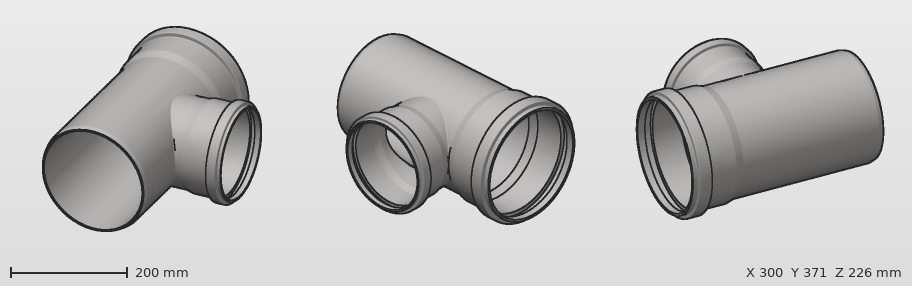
import cadquery as cq

run_length = 371.0
run_outer_d = 200.5
run_bore_d = 189.2
run_socket_outer_d = 209.5
run_socket_bore_d = 201.0
run_ring_outer_d = 226.0
run_groove_d = 217.0
run_taper_start = 271.0
run_taper_end = 286.5
run_ring_start = 337.5
run_ring_end = 361.5
spigot_bevel_length = 9.0
spigot_bevel_depth = 2.5

branch_lean = 2.5
branch_origin_y = 186.5
branch_length = 183.5
branch_outer_d = 161.0
branch_bore_d = 152.5
branch_socket_outer_d = 167.7
branch_socket_bore_d = 161.0
branch_ring_outer_d = 181.5
branch_groove_d = 174.5
branch_taper_start = 104.3
branch_taper_end = 118.0
branch_ring_start = 158.8
branch_ring_end = 177.0

junction_rounding = 2.0

ring_rounding = 1.5
ring_flank_wall = 4.5


def revolved(outline):
    """Close an outline along the Y axis and revolve it about that axis."""
    return outline.close().revolve(360, (0, 0), (0, 1))


def with_ring(outline, socket_r, ring_r, start, end):
    """Continue an outer outline along the socket and over its rounded seal ring."""
    r = ring_rounding
    return (
        outline
        .lineTo(socket_r, start - r)
        .radiusArc((socket_r + r, start), r)
        .lineTo(ring_r - r, start)
        .radiusArc((ring_r, start + r), -r)
        .lineTo(ring_r, end - r)
        .radiusArc((ring_r - r, end), -r)
        .lineTo(socket_r + r, end)
        .radiusArc((socket_r, end + r), r)
    )


def socket_bore(bore_d, socket_d, groove_d, taper, ring, length):
    """Bore of one pipe: plain bore, taper, socket and seal groove under the ring."""
    bore_r = bore_d / 2
    socket_r = socket_d / 2
    groove_r = groove_d / 2
    groove_start = ring[0] + ring_flank_wall
    groove_end = ring[1] - ring_flank_wall
    return revolved(
        cq.Workplane("XY")
        .lineTo(bore_r, 0)
        .lineTo(bore_r, taper[0])
        .lineTo(socket_r, taper[1])
        .lineTo(socket_r, groove_start)
        .lineTo(groove_r, groove_start)
        .lineTo(groove_r, groove_end)
        .lineTo(socket_r, groove_end)
        .lineTo(socket_r, length)
        .lineTo(0, length)
    )


def socket_body(base_outline, socket_d, ring_d, taper_end, ring, length):
    """Outer body of one pipe, whose base outline ends where the taper begins."""
    socket_r = socket_d / 2
    outline = base_outline.lineTo(socket_r, taper_end)
    outline = with_ring(outline, socket_r, ring_d / 2, *ring)
    return revolved(outline.lineTo(socket_r, length).lineTo(0, length))


def place_branch(shape):
    """Turn a shape built along +Y onto the leaning branch axis."""
    return shape.rotate((0, 0, 0), (0, 0, 1), branch_lean - 90).translate((0, branch_origin_y, 0))


run_r = run_outer_d / 2
run_taper = (run_taper_start, run_taper_end)
run_ring = (run_ring_start, run_ring_end)
run_base = (
    cq.Workplane("XY")
    .lineTo(run_r - spigot_bevel_depth, 0)
    .lineTo(run_r, spigot_bevel_length)
    .lineTo(run_r, run_taper_start)
)
run_body = socket_body(
    run_base, run_socket_outer_d, run_ring_outer_d, run_taper_end, run_ring, run_length
)
run_bore = socket_bore(
    run_bore_d, run_socket_bore_d, run_groove_d, run_taper, run_ring, run_length
)

branch_r = branch_outer_d / 2
branch_taper = (branch_taper_start, branch_taper_end)
branch_ring = (branch_ring_start, branch_ring_end)
branch_base = cq.Workplane("XY").lineTo(branch_r, 0).lineTo(branch_r, branch_taper_start)
branch_body = socket_body(
    branch_base, branch_socket_outer_d, branch_ring_outer_d, branch_taper_end, branch_ring, branch_length
)
branch_bore = socket_bore(
    branch_bore_d, branch_socket_bore_d, branch_groove_d, branch_taper, branch_ring, branch_length
)

run_barrel = revolved(
    cq.Workplane("XY", origin=(0, spigot_bevel_length, 0))
    .lineTo(run_r, 0)
    .lineTo(run_r, run_length - spigot_bevel_length)
    .lineTo(0, run_length - spigot_bevel_length)
)
junction = run_barrel.union(place_branch(branch_body))
junction = junction.edges("%BSPLINE").fillet(junction_rounding)

result = (
    run_body.union(junction)
    .cut(run_bore)
    .cut(place_branch(branch_bore))
)